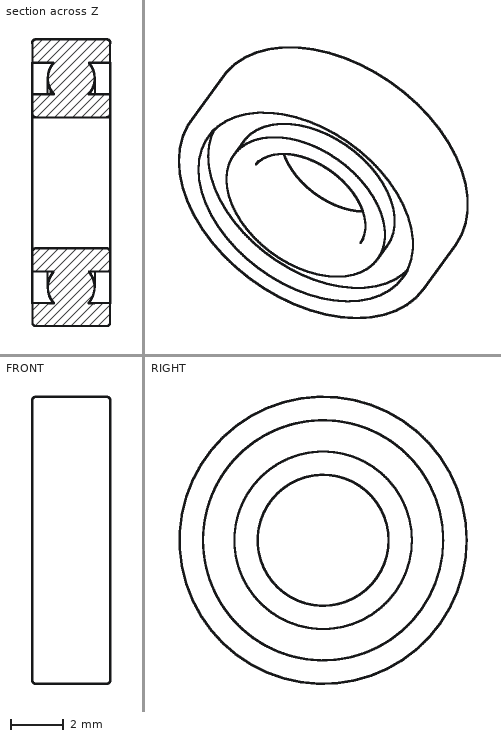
import cadquery as cq

outer_diameter = 11.0
bore_diameter = 5.0
width = 3.0
edge_radius = 0.15

gap_inner_diameter = 6.8
gap_outer_diameter = 9.2

pitch_radius = (gap_inner_diameter + gap_outer_diameter) / 4
ball_radius = 0.9


def race(outer, inner):
    """Plain ring centred on the origin, with its axis along X."""
    return (
        cq.Workplane("YZ", origin=(-width / 2, 0, 0))
        .circle(outer / 2)
        .circle(inner / 2)
        .extrude(width)
    )


largest_rims = cq.selectors.RadiusNthSelector(-1)
smallest_rims = cq.selectors.RadiusNthSelector(0)
outer_race = race(outer_diameter, gap_outer_diameter).edges(largest_rims).fillet(edge_radius)
inner_race = race(gap_inner_diameter, bore_diameter).edges(smallest_rims).fillet(edge_radius)

ball_ring = (
    cq.Workplane("XY")
    .center(0, pitch_radius)
    .circle(ball_radius)
    .revolve(360, (0, -pitch_radius, 0), (1, -pitch_radius, 0))
)

result = outer_race.union(inner_race).union(ball_ring)